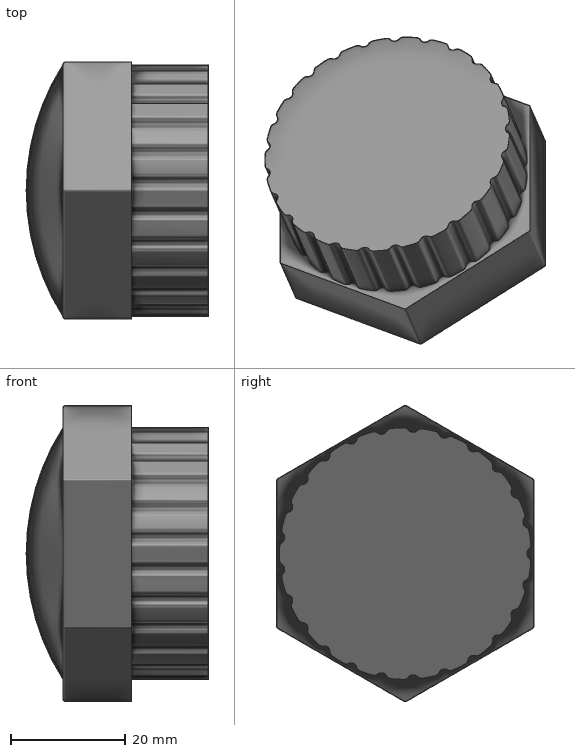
import cadquery as cq
import math

HEX_ACROSS_CORNERS = 51.8
HEX_THICKNESS = 12.0
HEX_EDGE_RADIUS = 0.505
DOME_HEIGHT = 6.4
SPIGOT_DIAMETER = 44.05
SPIGOT_LENGTH = 13.4
GROOVE_COUNT = 25
GROOVE_RADIUS = 1.0
GROOVE_LIP_RADIUS = 1.0
GROOVE_HALF_ANGLE = 4.1

cos30 = math.cos(math.radians(30))
hex_flats = (HEX_ACROSS_CORNERS - 2 * HEX_EDGE_RADIUS) * cos30 + 2 * HEX_EDGE_RADIUS
hex_sharp_corners = hex_flats / cos30

dome_radius = hex_flats / 2 - HEX_EDGE_RADIUS

hex_front = DOME_HEIGHT
hex_back = hex_front + HEX_THICKNESS


def polar(radius, degrees):
    """Point at a given radius and angle in the YZ plane."""
    angle = math.radians(degrees)
    return (radius * math.cos(angle), radius * math.sin(angle))


def hex_head():
    """Hexagonal head with corners on the Z axis and every edge rounded but the rear ones."""
    head = (
        cq.Workplane("YZ", origin=(hex_front, 0, 0))
        .transformed(rotate=(0, 0, 90))
        .polygon(6, hex_sharp_corners)
        .extrude(HEX_THICKNESS)
    )
    return head.edges("|X or <X").fillet(HEX_EDGE_RADIUS)


def dome():
    """Spherical cap on the front face, revolved about the X axis."""
    sphere_radius = (dome_radius**2 + DOME_HEIGHT**2) / (2 * DOME_HEIGHT)
    half_angle = math.asin(dome_radius / sphere_radius) / 2
    mid_point = (
        sphere_radius * (1 - math.cos(half_angle)),
        sphere_radius * math.sin(half_angle),
    )
    return (
        cq.Workplane("XY")
        .threePointArc(mid_point, (hex_front, dome_radius))
        .lineTo(hex_front, 0)
        .close()
        .revolve(360, (0, 0), (1, 0))
    )


def spigot():
    """Round spigot with rounded-lip grooves along its length, one of them at +Y."""
    outer = SPIGOT_DIAMETER / 2
    lip_centre_radius = outer - GROOVE_LIP_RADIUS
    lip_y, lip_z = polar(lip_centre_radius, GROOVE_HALF_ANGLE)

    centre_gap = GROOVE_RADIUS + GROOVE_LIP_RADIUS
    groove_centre = lip_y + math.sqrt(centre_gap**2 - lip_z**2)
    groove_bottom = groove_centre - GROOVE_RADIUS

    blend = GROOVE_LIP_RADIUS / centre_gap
    meet_y = lip_y + blend * (groove_centre - lip_y)
    meet_z = lip_z * (1 - blend)
    meet_radius = math.hypot(meet_y, meet_z)
    meet_angle = math.degrees(math.atan2(meet_z, meet_y))
    meet_direction = math.degrees(math.atan2(meet_z - lip_z, meet_y - lip_y))
    lip_mid_direction = (GROOVE_HALF_ANGLE + meet_direction) / 2
    lip_dy, lip_dz = polar(GROOVE_LIP_RADIUS, lip_mid_direction)
    lip_mid_radius = math.hypot(lip_y + lip_dy, lip_z + lip_dz)
    lip_mid_angle = math.degrees(math.atan2(lip_z + lip_dz, lip_y + lip_dy))

    pitch = 360 / GROOVE_COUNT
    outline = cq.Workplane("YZ", origin=(hex_back, 0, 0))
    outline = outline.moveTo(*polar(outer, -GROOVE_HALF_ANGLE))
    for index in range(GROOVE_COUNT):
        groove = index * pitch
        lip_in = polar(lip_mid_radius, groove - lip_mid_angle)
        groove_start = polar(meet_radius, groove - meet_angle)
        groove_end = polar(meet_radius, groove + meet_angle)
        lip_out = polar(lip_mid_radius, groove + lip_mid_angle)
        land_start = polar(outer, groove + GROOVE_HALF_ANGLE)
        land_end = polar(outer, groove + pitch - GROOVE_HALF_ANGLE)
        outline = (
            outline
            .threePointArc(lip_in, groove_start)
            .threePointArc(polar(groove_bottom, groove), groove_end)
            .threePointArc(lip_out, land_start)
            .threePointArc(polar(outer, groove + pitch / 2), land_end)
        )
    return outline.close().extrude(SPIGOT_LENGTH)


result = hex_head().union(dome()).union(spigot())